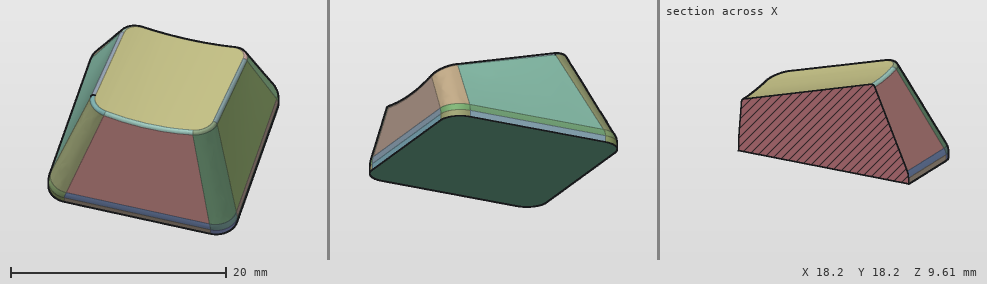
import cadquery as cq
import math

base_size = 18.16
base_corner = 2.03
skirt_height = 0.65

blend_height = 0.65

top_width = 11.99
top_front = -5.05
top_back = 8.68
top_corner = 1.9
front_height = 9.95
back_height = 5.95
rim_fillet = 0.36

dish_depth = 0.73
cutter_overrun = 7.26

top_run = top_back - top_front
top_drop = front_height - back_height
top_length = math.hypot(top_run, top_drop)
top_tilt = math.atan2(top_drop, top_run)
top_center = (0, (top_front + top_back) / 2, (front_height + back_height) / 2)
top_plane = cq.Plane(
    origin=top_center,
    xDir=(1, 0, 0),
    normal=(0, math.sin(top_tilt), math.cos(top_tilt)),
)

base_half = base_size / 2
seam_height = skirt_height + blend_height / 2
wall_start = skirt_height + blend_height


def inset_at_wall_start(top_reach, top_height):
    """Inward lean, from the skirt to the foot of a straight wall."""
    return (base_half - top_reach) * (wall_start - seam_height) / (top_height - seam_height)


side_inset = inset_at_wall_start(top_width / 2, top_center[2])
front_inset = inset_at_wall_start(-top_front, front_height)
back_inset = inset_at_wall_start(top_back, back_height)


def rounded_rectangle(plane, width, length, corner):
    profile = cq.Sketch().rect(width, length).vertices().fillet(corner)
    return profile.reset().faces().val().outerWire().moved(plane.location)


def level_outline(height, inset_share):
    """Horizontal section of the band; the share runs from 0 at the skirt to 1 at the walls."""
    width = base_size - 2 * side_inset * inset_share
    length = base_size - (front_inset + back_inset) * inset_share
    center_y = (front_inset - back_inset) / 2 * inset_share
    plane = cq.Plane(origin=(0, center_y, height))
    return rounded_rectangle(plane, width, length, base_corner)


def skirt():
    block = cq.Workplane("XY").rect(base_size, base_size).extrude(skirt_height)
    return block.edges("|Z").fillet(base_corner)


def blend_band():
    outlines = [
        level_outline(skirt_height, 0),
        level_outline(seam_height, 0.25),
        level_outline(wall_start, 1),
    ]
    return cq.Workplane(cq.Solid.makeLoft(outlines))


def sloped_walls():
    foot = level_outline(wall_start, 1)
    rim = rounded_rectangle(top_plane, top_width, top_length, top_corner)
    return cq.Workplane(cq.Solid.makeLoft([foot, rim], True))


def dish_cutter():
    half_width = top_width / 2
    radius = (half_width**2 + dish_depth**2) / (2 * dish_depth)
    length = top_length + 2 * cutter_overrun
    cross_plane = cq.Plane(origin=top_center, xDir=(1, 0, 0), normal=top_plane.yDir.multiply(-1))
    return (
        cq.Workplane(cross_plane)
        .center(0, radius - dish_depth)
        .circle(radius)
        .extrude(length / 2, both=True)
    )


keycap_top = sloped_walls().cut(dish_cutter())
keycap_top = keycap_top.faces("%CYLINDER").edges().fillet(rim_fillet)
result = keycap_top.union(blend_band()).union(skirt())